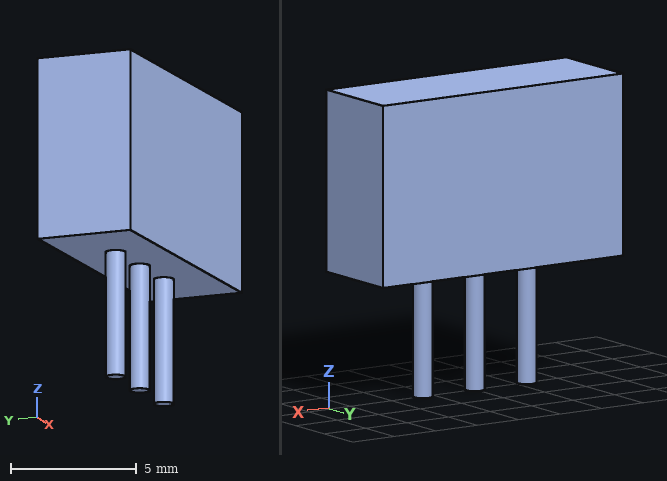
import cadquery as cq

HOUSING_LENGTH = 11.6
HOUSING_WIDTH = 4.0
TOTAL_HEIGHT = 12.5

PIN_COUNT = 3
PIN_DIAMETER = 0.8
PIN_PITCH = 2.5
PIN_LENGTH = 5.1

HOUSING_HEIGHT = TOTAL_HEIGHT - PIN_LENGTH


def make_housing():
    """Plain rectangular block standing on the plane Z = 0."""
    return cq.Workplane("XY").box(
        HOUSING_LENGTH, HOUSING_WIDTH, HOUSING_HEIGHT, centered=(True, True, False)
    )


def make_pin(x_position):
    """Straight round pin hanging from the underside of the housing."""
    return cq.Workplane("XY").center(x_position, 0).circle(PIN_DIAMETER / 2).extrude(-PIN_LENGTH)


housing = make_housing()

first_pin_x = -PIN_PITCH * (PIN_COUNT - 1) / 2
pins = []
for index in range(PIN_COUNT):
    pins.append(make_pin(first_pin_x + index * PIN_PITCH))

result = cq.Compound.makeCompound([housing.val(), *[pin.val() for pin in pins]])